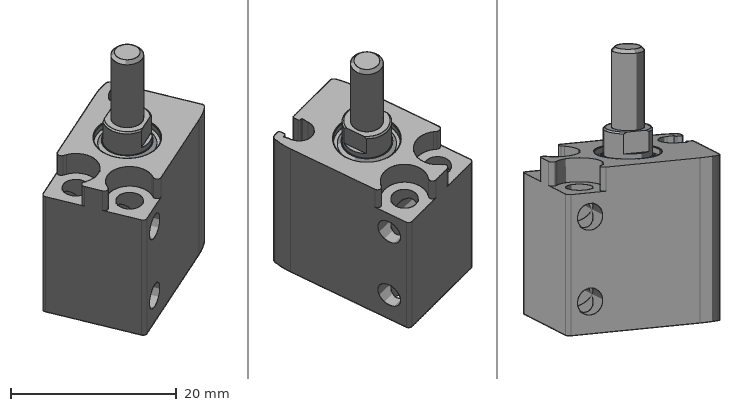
import cadquery as cq
import math

WIDTH = 13.5
DEPTH = 20.5
HEIGHT = 20.5
HALF_WIDTH = WIDTH / 2
FRONT_ROUND = 0.5
BACK_ROUND = 0.6
BACK_TAPER_LENGTH = 2.98
BACK_TAPER_INSET = 0.45

HOLE_DIAMETER = 3.3
HOLE_PITCH = 7.0
HOLE_X = HOLE_PITCH / 2
HOLE_Y = 3.0
CROSS_HOLE_LOW_Z = 4.02
CROSS_HOLE_PITCH = 10.52
POCKET_DIAMETER = 5.83
POCKET_RADIUS = POCKET_DIAMETER / 2
POCKET_DEPTH = 2.98
POCKET_FLOOR_Z = HEIGHT - POCKET_DEPTH
POCKET_TIP_ROUND = 0.5

SLOT_X = -3.52
SLOT_NECK_WIDTH = 2.9
SLOT_NECK_LENGTH = 1.05
SLOT_SHOULDER_WIDTH = 3.85
SLOT_ROUND_RADIUS = 1.8
SLOT_DEPTH = 3.82
SLOT_LIP_ROUND = 0.2

ROD_Y = 11.0
ROD_TOP = 33.5
ROD_DIAMETER = 4.0
ROD_CHAMFER = 0.45
SHOULDER_DIAMETER = 6.0
SHOULDER_TOP = 23.52
SHOULDER_CHAMFER = 0.2
FLATS_WIDTH = 5.0
FLATS_BOTTOM = 20.85
ROD_SEAT_DEPTH = 6.7
ROD_BOTTOM = HEIGHT - ROD_SEAT_DEPTH
RECESS_DIAMETER = 8.1
RECESS_DEPTH = 0.85
RECESS_CHAMFER = 0.1
COLLAR_BASE_DIAMETER = 7.17
COLLAR_TOP_DIAMETER = 6.25
COLLAR_HEIGHT = 0.45


def make_block():
    """Block with rounded front corners and sides that curve inward at the back."""
    taper_start = DEPTH - BACK_TAPER_LENGTH
    back_half_width = HALF_WIDTH - BACK_TAPER_INSET
    taper_radius = (BACK_TAPER_LENGTH**2 + BACK_TAPER_INSET**2) / (2 * BACK_TAPER_INSET)
    mid_angle = math.asin(BACK_TAPER_LENGTH / taper_radius) / 2
    mid_x = HALF_WIDTH - taper_radius * (1 - math.cos(mid_angle))
    mid_y = taper_start + taper_radius * math.sin(mid_angle)
    block = (
        cq.Workplane("XY")
        .moveTo(-HALF_WIDTH, 0)
        .lineTo(HALF_WIDTH, 0)
        .lineTo(HALF_WIDTH, taper_start)
        .threePointArc((mid_x, mid_y), (back_half_width, DEPTH))
        .lineTo(-back_half_width, DEPTH)
        .threePointArc((-mid_x, mid_y), (-HALF_WIDTH, taper_start))
        .close()
        .extrude(HEIGHT)
    )
    block = block.faces("<Y").edges("|Z").fillet(FRONT_ROUND)
    return block.faces(">Y").edges("|Z").fillet(BACK_ROUND)


def make_sensor_slot():
    """Round-bottomed slot with a narrower neck at the back face."""
    neck = SLOT_NECK_WIDTH / 2
    shoulder = SLOT_SHOULDER_WIDTH / 2
    shoulder_y = DEPTH - SLOT_NECK_LENGTH
    bottom_y = DEPTH - SLOT_DEPTH
    round_y = bottom_y + SLOT_ROUND_RADIUS
    return (
        cq.Workplane("XY")
        .moveTo(SLOT_X - neck, DEPTH)
        .lineTo(SLOT_X - neck, shoulder_y)
        .lineTo(SLOT_X - shoulder, shoulder_y)
        .lineTo(SLOT_X - SLOT_ROUND_RADIUS, round_y)
        .threePointArc((SLOT_X, bottom_y), (SLOT_X + SLOT_ROUND_RADIUS, round_y))
        .lineTo(SLOT_X + shoulder, shoulder_y)
        .lineTo(SLOT_X + neck, shoulder_y)
        .lineTo(SLOT_X + neck, DEPTH)
        .close()
        .extrude(HEIGHT)
    )


def round_upright_edge(body, x, y, z, radius):
    """Fillet the vertical edge whose middle is at the given point."""
    edge = body.edges("|Z").edges(cq.NearestToPointSelector((x, y, z)))
    return edge.fillet(radius)


def cut_sensor_slot(body):
    body = body.cut(make_sensor_slot())
    for side in (-1, 1):
        x = SLOT_X + side * SLOT_NECK_WIDTH / 2
        for y in (DEPTH, DEPTH - SLOT_NECK_LENGTH):
            body = round_upright_edge(body, x, y, HEIGHT / 2, SLOT_LIP_ROUND)
    return body


def cut_corner_pocket(body, side):
    """Diagonal round-ended pocket that opens through one front corner."""
    run = 2 * POCKET_DIAMETER
    reach = run / 2 * math.sqrt(0.5)
    pocket = (
        cq.Workplane("XY", origin=(0, 0, POCKET_FLOOR_Z))
        .center(side * (HOLE_X + reach), HOLE_Y - reach)
        .slot2D(run + POCKET_DIAMETER, POCKET_DIAMETER, -side * 45)
        .extrude(POCKET_DEPTH)
    )
    body = body.cut(pocket)
    wall_offset = POCKET_RADIUS * math.sqrt(2)
    side_tip_y = HOLE_Y + wall_offset - (HALF_WIDTH - HOLE_X)
    front_tip_x = side * (HOLE_X - wall_offset + HOLE_Y)
    tip_z = POCKET_FLOOR_Z + POCKET_DEPTH / 2
    body = round_upright_edge(body, side * HALF_WIDTH, side_tip_y, tip_z, POCKET_TIP_ROUND)
    return round_upright_edge(body, front_tip_x, 0, tip_z, POCKET_TIP_ROUND)


def cut_mounting_holes(body):
    upright = (
        cq.Workplane("XY")
        .pushPoints([(-HOLE_X, HOLE_Y), (HOLE_X, HOLE_Y)])
        .circle(HOLE_DIAMETER / 2)
        .extrude(HEIGHT)
    )
    crosswise = (
        cq.Workplane("YZ", origin=(-HALF_WIDTH, 0, 0))
        .pushPoints([(HOLE_Y, CROSS_HOLE_LOW_Z), (HOLE_Y, CROSS_HOLE_LOW_Z + CROSS_HOLE_PITCH)])
        .circle(HOLE_DIAMETER / 2)
        .extrude(WIDTH)
    )
    return body.cut(upright).cut(crosswise)


def add_rod_collar(body):
    """Chamfered recess with a raised conical collar around the rod."""
    recess_floor = HEIGHT - RECESS_DEPTH
    recess = (
        cq.Workplane("XY", origin=(0, ROD_Y, recess_floor))
        .circle(RECESS_DIAMETER / 2)
        .extrude(RECESS_DEPTH)
    )
    body = body.cut(recess)
    rim = cq.NearestToPointSelector((0, ROD_Y, HEIGHT))
    body = body.faces(">Z").edges(rim).chamfer(RECESS_CHAMFER)
    collar = (
        cq.Workplane("XY", origin=(0, ROD_Y, recess_floor))
        .circle(COLLAR_BASE_DIAMETER / 2)
        .workplane(offset=COLLAR_HEIGHT)
        .circle(COLLAR_TOP_DIAMETER / 2)
        .loft()
    )
    return body.union(collar)


def cut_rod_bore(body):
    bore = (
        cq.Workplane("XY", origin=(0, ROD_Y, ROD_BOTTOM))
        .circle(SHOULDER_DIAMETER / 2)
        .extrude(ROD_SEAT_DEPTH)
    )
    return body.cut(bore)


def make_housing():
    body = make_block()
    body = cut_sensor_slot(body)
    for side in (-1, 1):
        body = cut_corner_pocket(body, side)
    body = cut_mounting_holes(body)
    body = add_rod_collar(body)
    return cut_rod_bore(body)


def make_rod():
    """Stepped rod with two wrench flats on its shoulder."""
    shoulder = (
        cq.Workplane("XY", origin=(0, ROD_Y, ROD_BOTTOM))
        .circle(SHOULDER_DIAMETER / 2)
        .extrude(SHOULDER_TOP - ROD_BOTTOM)
        .faces(">Z")
        .chamfer(SHOULDER_CHAMFER)
    )
    flat_cut = (SHOULDER_DIAMETER - FLATS_WIDTH) / 2
    flat_x = (SHOULDER_DIAMETER + FLATS_WIDTH) / 4
    flats = (
        cq.Workplane("XY", origin=(0, ROD_Y, FLATS_BOTTOM))
        .pushPoints([(-flat_x, 0), (flat_x, 0)])
        .rect(flat_cut, SHOULDER_DIAMETER)
        .extrude(SHOULDER_TOP - FLATS_BOTTOM)
    )
    shaft = (
        cq.Workplane("XY", origin=(0, ROD_Y, SHOULDER_TOP))
        .circle(ROD_DIAMETER / 2)
        .extrude(ROD_TOP - SHOULDER_TOP)
        .faces(">Z")
        .chamfer(ROD_CHAMFER)
    )
    return shoulder.cut(flats).union(shaft)


housing = make_housing().solids()
rod = make_rod().solids()

result = cq.Compound.makeCompound([housing.val(), rod.val()])